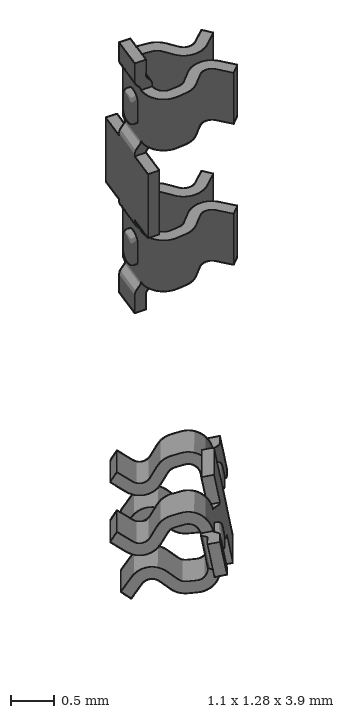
import cadquery as cq
import math


LENGTH = 3.9
DEPTH = 1.28
SHEET = 0.15

PAD_WIDTH = 1.1
PAD_HEIGHT = 1.0
STRIP_WIDTH = 0.41

CLIP_SPACING = 2.2
CLIP_LENGTH = 0.8
CLIP_LIFT = 0.08
BEND_OUTER = 0.292
BEND_INNER = BEND_OUTER - SHEET
WALL_LENGTH = 0.117
WALL_LEAN = 5.5
NECK_LENGTH = 0.155
NECK_LEAN = 48.0
FLARE_LEAN = 44.0

JOGGLE_START = 0.025
JOGGLE_RUN = 0.105
FOLD_INNER = 0.075
FOLD_OUTER = 0.15

BEAD_WIDTH = 0.25
BEAD_LENGTH = 0.5
BEAD_ROUND = 0.05


def polar(center, radius, angle):
    """Point at the given radius and angle (degrees) around a center."""
    a = math.radians(angle)
    return (center[0] + radius * math.cos(a), center[1] + radius * math.sin(a))


def clip_arm(clip_z):
    """Arm on the +X side: floor bend, side wall, shoulder bend, neck, throat and lead-in."""
    floor_center = (STRIP_WIDTH / 2, CLIP_LIFT + BEND_OUTER)
    shoulder_center = polar(floor_center, WALL_LENGTH, WALL_LEAN + 90)
    neck_end = polar(shoulder_center, NECK_LENGTH, NECK_LEAN + 90)
    throat_center = polar(neck_end, BEND_OUTER + BEND_INNER, NECK_LEAN)

    throat_start = 180 + NECK_LEAN
    throat_end = 180 - FLARE_LEAN
    flare_start = polar(throat_center, BEND_OUTER, throat_end)
    flare_length = (DEPTH - flare_start[1]) / math.cos(math.radians(FLARE_LEAN))
    inner_tip = polar(flare_start, flare_length, 90 - FLARE_LEAN)
    outer_tip = polar(inner_tip, SHEET, -FLARE_LEAN)
    shoulder_mid = (WALL_LEAN + NECK_LEAN) / 2
    floor_mid = (WALL_LEAN - 90) / 2

    arm = (
        cq.Workplane("XY")
        .workplane(offset=clip_z - CLIP_LENGTH / 2)
        .moveTo(*polar(floor_center, BEND_OUTER, -90))
        .threePointArc(polar(floor_center, BEND_OUTER, floor_mid),
                       polar(floor_center, BEND_OUTER, WALL_LEAN))
        .lineTo(*polar(shoulder_center, BEND_OUTER, WALL_LEAN))
        .threePointArc(polar(shoulder_center, BEND_OUTER, shoulder_mid),
                       polar(shoulder_center, BEND_OUTER, NECK_LEAN))
        .lineTo(*polar(throat_center, BEND_INNER, throat_start))
        .threePointArc(polar(throat_center, BEND_INNER, 180),
                       polar(throat_center, BEND_INNER, throat_end))
        .lineTo(*outer_tip)
        .lineTo(*inner_tip)
        .lineTo(*flare_start)
        .threePointArc(polar(throat_center, BEND_OUTER, 180),
                       polar(throat_center, BEND_OUTER, throat_start))
        .lineTo(*polar(shoulder_center, BEND_INNER, NECK_LEAN))
        .threePointArc(polar(shoulder_center, BEND_INNER, shoulder_mid),
                       polar(shoulder_center, BEND_INNER, WALL_LEAN))
        .lineTo(*polar(floor_center, BEND_INNER, WALL_LEAN))
        .threePointArc(polar(floor_center, BEND_INNER, floor_mid),
                       polar(floor_center, BEND_INNER, -90))
        .close()
    )
    return arm.extrude(CLIP_LENGTH)


def upper_strip():
    """Strip from the middle of the pad up to the end of the foot, with its two joggles."""
    fold_angle = math.atan2(CLIP_LIFT, JOGGLE_RUN)
    miter = SHEET * math.tan(fold_angle / 2)
    clip_z = CLIP_SPACING / 2
    clip_fold = CLIP_LENGTH / 2 + JOGGLE_START
    foot_fold = clip_fold + JOGGLE_RUN

    front = [
        (0, clip_z - foot_fold),
        (CLIP_LIFT, clip_z - clip_fold),
        (CLIP_LIFT, clip_z + clip_fold),
        (0, clip_z + foot_fold),
    ]
    back = [
        (SHEET, clip_z - foot_fold - miter),
        (CLIP_LIFT + SHEET, clip_z - clip_fold - miter),
        (CLIP_LIFT + SHEET, clip_z + clip_fold + miter),
        (SHEET, clip_z + foot_fold + miter),
    ]
    outline = [(0, 0), *front, (0, LENGTH / 2), (SHEET, LENGTH / 2), *reversed(back), (SHEET, 0)]
    strip = cq.Workplane("YZ").polyline(outline).close().extrude(STRIP_WIDTH / 2, both=True)

    inner_folds = [front[1], front[2], back[0], back[3]]
    outer_folds = [front[0], front[3], back[1], back[2]]
    for folds, radius in ((inner_folds, FOLD_INNER), (outer_folds, FOLD_OUTER)):
        for y, z in folds:
            strip = strip.edges(cq.NearestToPointSelector((0, y, z))).fillet(radius)
    return strip


def bead(clip_z):
    """Rounded oblong bead from the clip floor down to the soldering plane."""
    blank = (
        cq.Workplane("XZ", origin=(0, CLIP_LIFT + SHEET / 2, clip_z))
        .slot2D(BEAD_LENGTH, BEAD_WIDTH, 90)
        .extrude(CLIP_LIFT + SHEET / 2)
    )
    return blank.faces("<Y").edges().fillet(BEAD_ROUND)


half_strip = upper_strip()
pad = cq.Workplane("XY").box(PAD_WIDTH, SHEET, PAD_HEIGHT).translate((0, SHEET / 2, 0))
result = pad.union(half_strip).union(half_strip.mirror("XY"))
for center_z in (-CLIP_SPACING / 2, CLIP_SPACING / 2):
    arm_right = clip_arm(center_z)
    result = result.union(arm_right).union(arm_right.mirror("YZ")).union(bead(center_z))